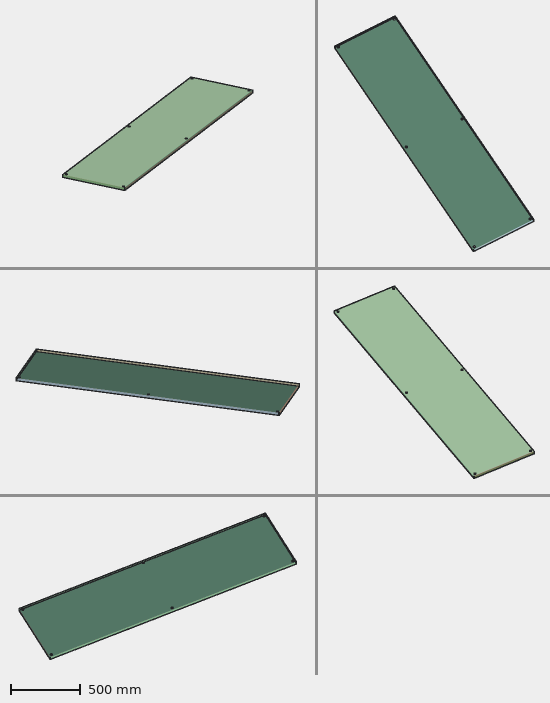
import cadquery as cq

width = 507.0
length = 1981.0
height = 22.0

sheet_thickness = 2.0
bend_radius = 2.5
corner_notch = 3.0

hole_diameter = 14.3
hole_edge_margin = 22.0

hole_x = width / 2 - hole_edge_margin
hole_y = length / 2 - hole_edge_margin


def make_folded_sheet():
    """Top sheet with a flange bent down along all four sides."""
    outside = (
        cq.Workplane("XY")
        .box(width, length, height, centered=(True, True, False))
        .faces(">Z")
        .edges()
        .fillet(bend_radius)
    )
    return outside.faces("<Z").shell(-sheet_thickness)


def make_corner_notches():
    """Square posts that clear the four corners over the full height."""
    return (
        cq.Workplane("XY")
        .rect(width - corner_notch, length - corner_notch, forConstruction=True)
        .vertices()
        .rect(corner_notch, corner_notch)
        .extrude(height)
    )


def make_holes():
    """Two rows of three pins that cut the through holes."""
    centers = [(x, y) for x in (-hole_x, hole_x) for y in (-hole_y, 0, hole_y)]
    return cq.Workplane("XY").pushPoints(centers).circle(hole_diameter / 2).extrude(height)


result = make_folded_sheet().cut(make_corner_notches()).cut(make_holes())